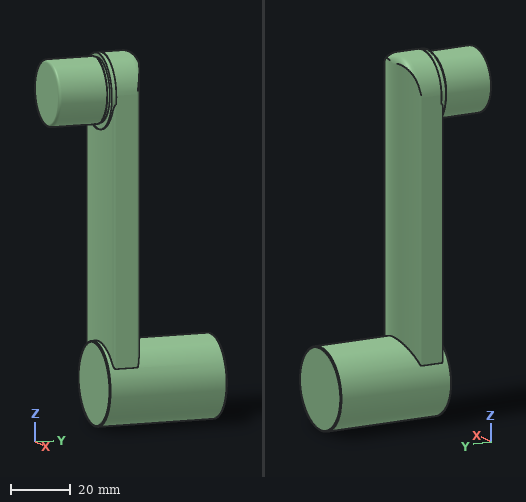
import cadquery as cq

total_height = 127.2

hub_radius = 14.5
hub_length = 42.4
hub_chamfer = 0.4

arm_half_width = 12.7
arm_end_z = total_height - hub_radius - arm_half_width
arm_front_edge_y = 2.2
arm_front_crown_y = 1.7
arm_back_edge_y = 11.0
arm_back_crown_y = 14.5
arm_edge_fillet = 0.9
arm_end_round = 3.4

collar_radius = 13.0
collar_z = 99.6
collar_front_y = 1.4
collar_back_y = 3.0

neck_radius = 11.1
grip_radius = 11.5
grip_back_y = 0.4
grip_front_y = -17.0
grip_fillet = 1.0


def cylinder(radius, z, front_y, back_y):
    """Cylinder along Y between two Y positions, centred on X = 0."""
    base = cq.Workplane("XZ", origin=(0, back_y, z))
    return base.circle(radius).extrude(back_y - front_y)


def make_hub():
    return cylinder(hub_radius, 0, 0, hub_length).edges().chamfer(hub_chamfer)


def make_arm():
    """Bar with crowned front and back, rounded at its upper end."""
    bar = (
        cq.Workplane("XY")
        .moveTo(-arm_half_width, arm_front_edge_y)
        .threePointArc((0, arm_front_crown_y), (arm_half_width, arm_front_edge_y))
        .lineTo(arm_half_width, arm_back_edge_y)
        .threePointArc((0, arm_back_crown_y), (-arm_half_width, arm_back_edge_y))
        .close()
        .extrude(arm_end_z + arm_half_width)
        .edges("|Z")
        .fillet(arm_edge_fillet)
    )
    end = cylinder(arm_half_width, arm_end_z, collar_back_y, arm_back_crown_y)
    end = end.faces(">Y").edges().fillet(arm_end_round)
    shank = cq.Workplane("XY").box(
        2 * arm_half_width, 2 * arm_back_crown_y, arm_end_z, centered=(True, True, False)
    )
    shank = shank.translate((0, arm_back_crown_y, 0))
    return bar.intersect(shank.union(end))


def make_grip():
    """Plain cylindrical grip with a rounded free end."""
    grip = cylinder(grip_radius, arm_end_z, grip_front_y, grip_back_y)
    return grip.faces("<Y").edges().fillet(grip_fillet)


arm_middle_y = (arm_front_edge_y + arm_back_edge_y) / 2
collar = cylinder(collar_radius, collar_z, collar_front_y, collar_back_y)
neck = cylinder(neck_radius, arm_end_z, grip_back_y, arm_middle_y)

result = make_hub().union(make_arm()).union(collar).union(neck).union(make_grip())